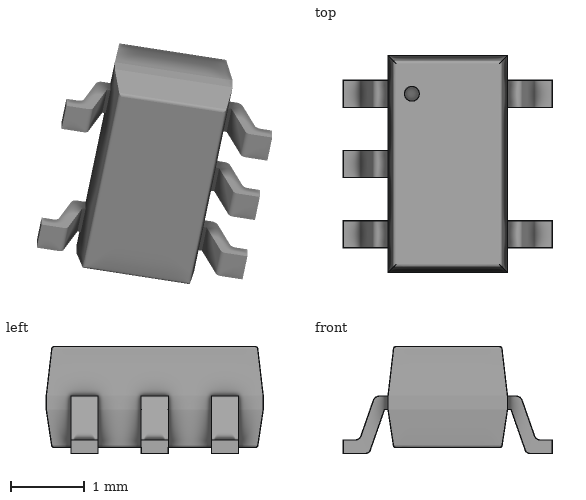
import cadquery as cq
import math

body_width = 1.62
body_length = 2.94
body_bottom = 0.08
body_top = 1.45
cap_inset = 0.078
cap_edge_radius = 0.038

lead_span = 2.83
lead_thickness = 0.185
lead_top = 0.78
lead_width = 0.37
lead_pitch = 0.95
foot_length = 0.22
slope_run = 0.208
shoulder_radius = 0.09
ankle_radius = 0.085
heel_radius = 0.07

belt_bottom = lead_top - lead_thickness
belt_top = lead_top

mark_diameter = 0.2
mark_depth = 0.2
mark_x = -body_width / 2 + 0.325
mark_y = lead_pitch

left_side = -1
right_side = 1
lead_places = [
    (left_side, lead_pitch),
    (left_side, 0),
    (left_side, -lead_pitch),
    (right_side, -lead_pitch),
    (right_side, lead_pitch),
]


def make_cap(base_z, end_z):
    """Tapered block from the belt outline at base_z to a smaller one at end_z."""
    return (
        cq.Workplane("XY", origin=(0, 0, base_z))
        .rect(body_width, body_length)
        .workplane(offset=end_z - base_z)
        .rect(body_width - 2 * cap_inset, body_length - 2 * cap_inset)
        .loft(ruled=True)
    )


def make_body():
    """Belt and two caps with rounded end edges and the pin 1 mark."""
    belt = (
        cq.Workplane("XY", origin=(0, 0, belt_bottom))
        .rect(body_width, body_length)
        .extrude(lead_thickness)
    )
    upper_cap = make_cap(belt_top, body_top).faces(">Z").edges().fillet(cap_edge_radius)
    lower_cap = make_cap(belt_bottom, body_bottom).faces("<Z").edges().fillet(cap_edge_radius)
    mark = (
        cq.Workplane("XY", origin=(mark_x, mark_y, body_top))
        .circle(mark_diameter / 2)
        .extrude(-mark_depth)
    )
    return belt.union(upper_cap).union(lower_cap).cut(mark)


def make_lead(side, y):
    """Gull-wing lead from the belt face out to the toe, on the given side of the body."""
    root_x = body_width / 2
    toe_x = lead_span / 2
    slope_end_x = toe_x - foot_length
    shoulder_x = slope_end_x - slope_run

    slope_angle = math.atan2(lead_top - lead_thickness, slope_run)
    bisector_shift = lead_thickness * math.tan(slope_angle / 2)

    shoulder = (shoulder_x, lead_top)
    slope_end = (slope_end_x, lead_thickness)
    heel = (slope_end_x - bisector_shift, 0)
    armpit = (shoulder_x - bisector_shift, lead_top - lead_thickness)

    strip = (
        cq.Workplane("XZ")
        .moveTo(root_x, lead_top)
        .lineTo(*shoulder)
        .lineTo(*slope_end)
        .lineTo(toe_x, lead_thickness)
        .lineTo(toe_x, 0)
        .lineTo(*heel)
        .lineTo(*armpit)
        .lineTo(root_x, lead_top - lead_thickness)
        .close()
        .extrude(lead_width / 2, both=True)
    )

    def edge_at(corner):
        return cq.selectors.NearestToPointSelector((corner[0], 0, corner[1]))

    strip = strip.edges("|Y").edges(edge_at(shoulder)).fillet(shoulder_radius)
    strip = strip.edges("|Y").edges(edge_at(slope_end)).fillet(ankle_radius)
    strip = strip.edges("|Y").edges(edge_at(heel)).fillet(heel_radius)
    if side == left_side:
        strip = strip.mirror("YZ")
    return strip.translate((0, y, 0))


body = make_body()
leads = [make_lead(side, y) for side, y in lead_places]

result = cq.Compound.makeCompound([body.val(), *[lead.val() for lead in leads]])